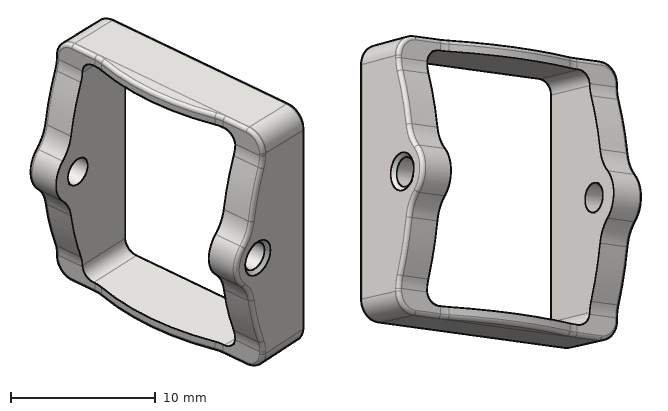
import cadquery as cq
import math

width = 19.0
height = 19.6
side_wall = 2.5
end_wall = 0.82
outer_corner_radius = 1.5
inner_corner_radius = 1.0
edge_radius = 0.3
land_depth = 4.5
draft_inset = 0.05
draft_end_depth = 4.17

hole_depth = 5.0
hole_radius = 1.04
hole_chamfer = 0.3
boss_radius = 2.3
boss_blend_radius = 2.88

side_crest_depth = 5.98
side_crest_radius = 20.58
end_crest_depth = 5.31
end_crest_radius = 19.36
land_blend_radius = 2.5

total_depth = hole_depth + boss_radius
half_width = width / 2
half_height = height / 2

side_plane = cq.Plane(origin=(0, 0, 0), xDir=(0, 0, 1), normal=(1, 0, 0))
end_plane = cq.Plane(origin=(0, 0, 0), xDir=(1, 0, 0), normal=(0, 0, -1))


def point_on_circle(center, radius, target):
    """Point of a circle in the direction of a target point."""
    along = target[0] - center[0]
    across = target[1] - center[1]
    scale = radius / math.hypot(along, across)
    return center[0] + along * scale, center[1] + across * scale


def arc_middle(center, radius, start, end):
    """Middle point of the short arc between two points of a circle."""
    chord_middle = ((start[0] + end[0]) / 2, (start[1] + end[1]) / 2)
    return point_on_circle(center, radius, chord_middle)


def land_blend(crest_center, crest_radius):
    """Center of the concave arc between a crest arc and the flat land."""
    depth = land_depth + land_blend_radius
    reach = crest_radius + land_blend_radius
    return math.sqrt(reach**2 - (depth - crest_center[1]) ** 2), depth


def boss_blend(crest_center, crest_radius):
    """Center of the concave arc between the boss and the side crest arc."""
    boss_reach = boss_radius + boss_blend_radius
    crest_reach = crest_radius + boss_blend_radius
    spacing = hole_depth - crest_center[1]
    rise = (crest_reach**2 - boss_reach**2 - spacing**2) / (2 * spacing)
    return math.sqrt(boss_reach**2 - rise**2), hole_depth + rise


def mirrored(point):
    """Point reflected in the middle line of a front contour."""
    return -point[0], point[1]


def front_profile(plane, half_length, half_thickness, arcs):
    """Solid under a symmetric front contour.

    Each arc is (center, radius, start, end), running from the middle outwards.
    """
    outline = cq.Workplane(plane).moveTo(-half_length, 0).lineTo(-half_length, land_depth)
    outline = outline.lineTo(*mirrored(arcs[-1][3]))
    for center, radius, start, end in reversed(arcs):
        middle = arc_middle(center, radius, start, end)
        outline = outline.threePointArc(mirrored(middle), mirrored(start))
    for center, radius, start, end in arcs:
        outline = outline.threePointArc(arc_middle(center, radius, start, end), end)
    outline = outline.lineTo(half_length, land_depth).lineTo(half_length, 0).close()
    return outline.extrude(half_thickness, both=True)


def side_profile():
    crest = (0, side_crest_depth - side_crest_radius)
    boss = (0, hole_depth)
    inner_blend = boss_blend(crest, side_crest_radius)
    outer_blend = land_blend(crest, side_crest_radius)
    boss_end = point_on_circle(boss, boss_radius, inner_blend)
    crest_start = point_on_circle(crest, side_crest_radius, inner_blend)
    crest_end = point_on_circle(crest, side_crest_radius, outer_blend)
    arcs = [
        (boss, boss_radius, (0, total_depth), boss_end),
        (inner_blend, boss_blend_radius, boss_end, crest_start),
        (crest, side_crest_radius, crest_start, crest_end),
        (outer_blend, land_blend_radius, crest_end, (outer_blend[0], land_depth)),
    ]
    return front_profile(side_plane, half_height, half_width, arcs)


def end_profile():
    crest = (0, end_crest_depth - end_crest_radius)
    blend = land_blend(crest, end_crest_radius)
    crest_end = point_on_circle(crest, end_crest_radius, blend)
    arcs = [
        (crest, end_crest_radius, (0, end_crest_depth), crest_end),
        (blend, land_blend_radius, crest_end, (blend[0], land_depth)),
    ]
    return front_profile(end_plane, half_width, half_height, arcs)


def outer_block():
    """Rounded block whose end faces taper slightly towards the back."""
    back_half_height = half_height - draft_inset
    section = [
        (-back_half_height, 0),
        (-half_height, draft_end_depth),
        (-half_height, total_depth),
        (half_height, total_depth),
        (half_height, draft_end_depth),
        (back_half_height, 0),
    ]
    block = cq.Workplane(side_plane).polyline(section).close().extrude(half_width, both=True)
    return block.edges("not(|X)").edges("not(#Y)").fillet(outer_corner_radius)


def rounded_opening():
    opening = cq.Workplane("XY").box(
        width - 2 * side_wall, 2 * total_depth, height - 2 * end_wall
    )
    return opening.edges("|Y").fillet(inner_corner_radius)


def is_outer_rim(edge):
    """True for an edge between the outer wall and the front or back."""
    center = edge.Center()
    inset = min(half_width - abs(center.x), half_height - abs(center.z))
    bounds = edge.BoundingBox()
    on_front = bounds.ymax < -land_depth + edge_radius / 2
    on_back = bounds.ymin > -edge_radius / 2
    return inset < outer_corner_radius / 2 and (on_front or on_back)


blank = outer_block().intersect(side_profile().union(end_profile()))
blank = blank.edges().filter(is_outer_rim).fillet(edge_radius)

frame = blank.cut(rounded_opening())
bore = cq.Workplane(side_plane).center(0, hole_depth).circle(hole_radius)
frame = frame.cut(bore.extrude(half_width, both=True))
hole_mouths = cq.selectors.BoxSelector(
    (-width, -hole_depth - hole_radius, -hole_radius),
    (width, -hole_depth + hole_radius, hole_radius),
)
result = frame.faces("<X or >X").edges(hole_mouths).chamfer(hole_chamfer)